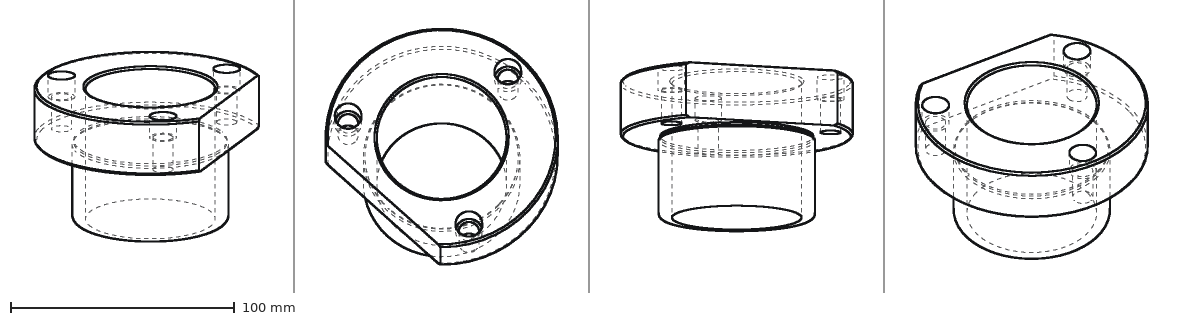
import cadquery as cq

flange_diameter = 103.9
flange_height = 25.0
flat_x = 38.0
flange_chamfer = 1.0

total_height = 62.0
spigot_diameter = 70.0
spigot_bottom_fillet = 2.0
neck_diameter = 68.6
neck_height = 1.0
cone_height = 0.9

bore_diameter = 58.0
bore_chamfer = 1.0

hole_count = 3
first_hole_angle = 60
hole_circle_radius = 43.0
hole_diameter = 9.0
counterbore_diameter = 12.0
counterbore_depth = 10.0

flange_bottom = total_height - flange_height
neck_bottom = flange_bottom - neck_height
cone_bottom = neck_bottom - cone_height


def make_flange():
    """Disc with both rims chamfered, then cut flat on the +X side."""
    disc = (
        cq.Workplane("XY", origin=(0, 0, flange_bottom))
        .circle(flange_diameter / 2)
        .extrude(flange_height)
        .edges()
        .chamfer(flange_chamfer)
    )
    beyond_flat = cq.Workplane("XY", origin=(flat_x, 0, 0)).box(
        flange_diameter, flange_diameter, total_height, centered=(False, True, False)
    )
    return disc.cut(beyond_flat)


def make_spigot():
    """Cylinder with a rounded lower rim, tapering to a short neck under the flange."""
    half_profile = (
        cq.Workplane("XZ")
        .lineTo(spigot_diameter / 2, 0)
        .lineTo(spigot_diameter / 2, cone_bottom)
        .lineTo(neck_diameter / 2, neck_bottom)
        .lineTo(neck_diameter / 2, flange_bottom)
        .lineTo(0, flange_bottom)
        .close()
    )
    spigot = half_profile.revolve(360, (0, 0), (0, 1))
    return spigot.faces("<Z").edges().fillet(spigot_bottom_fillet)


def make_bore():
    """Cutter for the through bore and the chamfer at its upper rim."""
    cylinder = cq.Workplane("XY").circle(bore_diameter / 2).extrude(total_height)
    rim = (
        cq.Workplane("XY", origin=(0, 0, total_height))
        .circle(bore_diameter / 2 + bore_chamfer)
        .extrude(-bore_chamfer, taper=45)
    )
    return cylinder.union(rim)


body = make_flange().union(make_spigot()).cut(make_bore())

result = (
    body.faces(">Z")
    .workplane(origin=(0, 0, total_height))
    .polarArray(hole_circle_radius, first_hole_angle, 360, hole_count)
    .cboreHole(hole_diameter, counterbore_diameter, counterbore_depth)
)